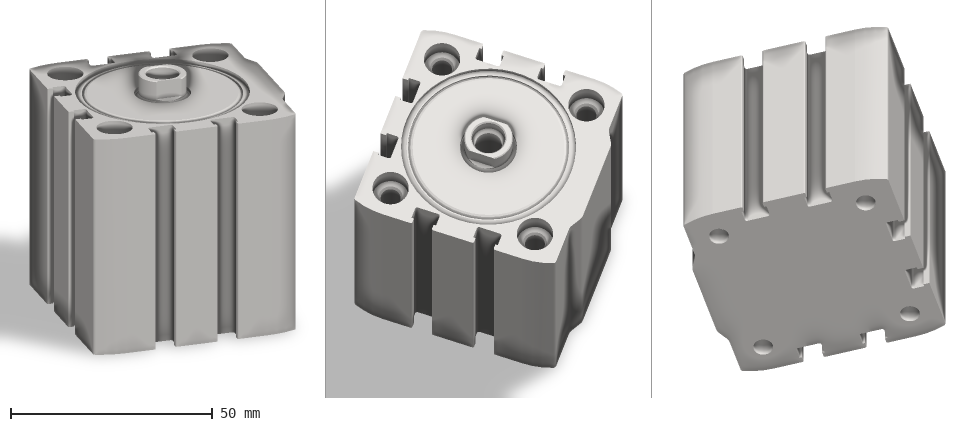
import cadquery as cq
import math

body_width = 53.0
body_height = 57.5
total_height = 62.5
half_width = body_width / 2

flank_start = 18.45
flank_radius = 21.25
corner_radius = 0.75

rib_height = 2.0
rib_top_half = 10.75
rib_base_half = 14.4
rib_radius = 2.5

slot_offset = 8.1
slot_opening = 5.2
slot_width = 6.45
slot_depth = 4.7
lip_thickness = 1.5
slot_corner_radius = 0.55
lip_radius = 0.4

hole_offset = 19.0
hole_diameter = 4.95
hole_mouth_diameter = 6.0
counterbore_diameter = 9.0
counterbore_depth = 5.0

recess_radius = 43.4 / 2
recess_depth = 1.2
collar_outer_radius = 20.3
cover_bore_radius = 40.0 / 2
cover_edge_radius = 19.8
cover_bevel_radius = 19.3
cover_face_radius = 18.8
collar_depth = 0.5
cover_edge_depth = 1.05
cover_bevel_depth = 0.5
cover_depth = 0.3

wiper_seat_radius = 14.1 / 2
wiper_radius = 6.8
wiper_top_depth = 0.3
wiper_seat_depth = 1.2

rod_radius = 12.0 / 2
rod_length = 30.0
rod_edge_chamfer = 0.25
across_flats = 10.0
flat_end_height = 57.75
flat_runout_drop = 0.55
mouth_radius = 9.0 / 2
thread_relief_radius = 8.4 / 2
thread_core_radius = 6.6 / 2
mouth_chamfer = mouth_radius - thread_relief_radius
thread_relief_depth = 3.25
thread_depth = 15.0
drill_tip_half_angle = math.radians(59)


def revolve_section(points):
    """Revolve a closed section of (radius, height) points about the Z axis."""
    return cq.Workplane("XZ").polyline(points).close().revolve(360, (0, 0, 0), (0, 1, 0))


def make_block():
    """Extrude the outer housing shape with curved flanks at all four corners."""
    arc_rise = half_width - flank_start
    arc_end_x = half_width - flank_radius + math.sqrt(flank_radius**2 - arc_rise**2)
    arc_mid_y = flank_start + arc_rise / 2
    arc_mid_x = half_width - flank_radius + math.sqrt(flank_radius**2 - (arc_rise / 2) ** 2)
    block = (
        cq.Workplane("XY")
        .moveTo(half_width, -flank_start)
        .lineTo(half_width, flank_start)
        .threePointArc((arc_mid_x, arc_mid_y), (arc_end_x, half_width))
        .lineTo(-arc_end_x, half_width)
        .threePointArc((-arc_mid_x, arc_mid_y), (-half_width, flank_start))
        .lineTo(-half_width, -flank_start)
        .threePointArc((-arc_mid_x, -arc_mid_y), (-arc_end_x, -half_width))
        .lineTo(arc_end_x, -half_width)
        .threePointArc((arc_mid_x, -arc_mid_y), (half_width, -flank_start))
        .close()
        .extrude(body_height)
    )
    for sign_x in (-1, 1):
        for sign_y in (-1, 1):
            corner = (sign_x * arc_end_x, sign_y * half_width, body_height / 2)
            block = block.edges(cq.NearestToPointSelector(corner)).fillet(corner_radius)
    return block


def add_rib(block):
    """Add the raised rib on the back, with rounded slopes."""
    rib_top = half_width + rib_height
    rib = (
        cq.Workplane("XY")
        .polyline(
            [
                (-rib_base_half, half_width),
                (-rib_top_half, rib_top),
                (rib_top_half, rib_top),
                (rib_base_half, half_width),
            ]
        )
        .close()
        .extrude(body_height)
    )
    block = block.union(rib)
    for x, y in ((rib_base_half, half_width), (rib_top_half, rib_top)):
        for side in (-1, 1):
            edge = cq.NearestToPointSelector((side * x, y, body_height / 2))
            block = block.edges(edge).fillet(rib_radius)
    return block


def make_slot():
    """Make a T-slot cutter that opens toward -Y at the front face."""
    channel_depth = slot_depth - lip_thickness
    channel = (
        cq.Workplane("XY")
        .rect(slot_width, channel_depth)
        .extrude(body_height)
        .translate((0, -half_width + lip_thickness + channel_depth / 2, 0))
        .edges("|Z and >Y")
        .fillet(slot_corner_radius)
    )
    opening = (
        cq.Workplane("XY")
        .rect(slot_opening, lip_thickness * 2)
        .extrude(body_height)
        .translate((0, -half_width, 0))
    )
    return channel.union(opening)


def cut_slots(block):
    """Cut a pair of T-slots in the front and in both sides."""
    for angle in (-90, 0, 90):
        for offset in (-slot_offset, slot_offset):
            slot = make_slot().translate((offset, 0, 0))
            block = block.cut(slot.rotate((0, 0, 0), (0, 0, 1), angle))
    for side in (-1, 1):
        for offset in (-slot_offset, slot_offset):
            for lip in (-1, 1):
                y = offset + lip * slot_opening / 2
                edge = cq.NearestToPointSelector((side * half_width, y, body_height / 2))
                block = block.edges(edge).fillet(lip_radius)
    return block


def cut_mounting_holes(block):
    """Cut the four through holes, each with a counterbore and a countersunk mouth."""
    hole_radius = hole_diameter / 2
    mouth_hole_radius = hole_mouth_diameter / 2
    counterbore_radius = counterbore_diameter / 2
    floor = body_height - counterbore_depth
    cutter = revolve_section(
        [
            (0, 0),
            (hole_radius, 0),
            (hole_radius, floor - (mouth_hole_radius - hole_radius)),
            (mouth_hole_radius, floor),
            (counterbore_radius, floor),
            (counterbore_radius, body_height),
            (0, body_height),
        ]
    )
    for x in (-hole_offset, hole_offset):
        for y in (-hole_offset, hole_offset):
            block = block.cut(cutter.translate((x, y, 0)))
    return block


def cut_cover_recess(block):
    """Cut the stepped ring around the end cover, the cover face and the rod bore."""
    cutter = revolve_section(
        [
            (0, body_height),
            (recess_radius, body_height),
            (recess_radius, body_height - recess_depth),
            (collar_outer_radius, body_height - collar_depth),
            (cover_bore_radius, body_height - collar_depth),
            (cover_bore_radius, body_height - cover_edge_depth),
            (cover_edge_radius, body_height - cover_edge_depth),
            (cover_bevel_radius, body_height - cover_bevel_depth),
            (cover_face_radius, body_height - cover_depth),
            (wiper_seat_radius, body_height - cover_depth),
            (wiper_seat_radius, body_height - wiper_seat_depth),
            (wiper_radius, body_height - wiper_seat_depth),
            (rod_radius, body_height - wiper_top_depth),
            (rod_radius, total_height - rod_length),
            (0, total_height - rod_length),
        ]
    )
    return block.cut(cutter)


def make_housing():
    """Make the ribbed housing with its slots, mounting holes, end cover and rod bore."""
    housing = add_rib(make_block())
    housing = cut_slots(housing)
    housing = cut_mounting_holes(housing)
    return cut_cover_recess(housing)


def make_rod():
    """Make the piston rod with its threaded socket and two wrench flats."""
    relief_floor = total_height - thread_relief_depth
    thread_floor = total_height - thread_depth
    drill_tip = thread_floor - thread_core_radius / math.tan(drill_tip_half_angle)
    rod = revolve_section(
        [
            (0, total_height - rod_length),
            (rod_radius, total_height - rod_length),
            (rod_radius, total_height - rod_edge_chamfer),
            (rod_radius - rod_edge_chamfer, total_height),
            (mouth_radius, total_height),
            (thread_relief_radius, total_height - mouth_chamfer),
            (thread_relief_radius, relief_floor),
            (thread_core_radius, relief_floor - (thread_relief_radius - thread_core_radius)),
            (thread_core_radius, thread_floor),
            (0, drill_tip),
        ]
    )
    half_flats = across_flats / 2
    for side in (-1, 1):
        flat_cutter = (
            cq.Workplane("XZ")
            .polyline(
                [
                    (side * half_flats, total_height),
                    (side * half_flats, flat_end_height),
                    (side * rod_radius, flat_end_height - flat_runout_drop),
                    (side * rod_radius, total_height),
                ]
            )
            .close()
            .extrude(rod_radius, both=True)
        )
        rod = rod.cut(flat_cutter)
    return rod


housing = make_housing()
rod = make_rod()
result = cq.Compound.makeCompound([housing.val(), rod.val()])